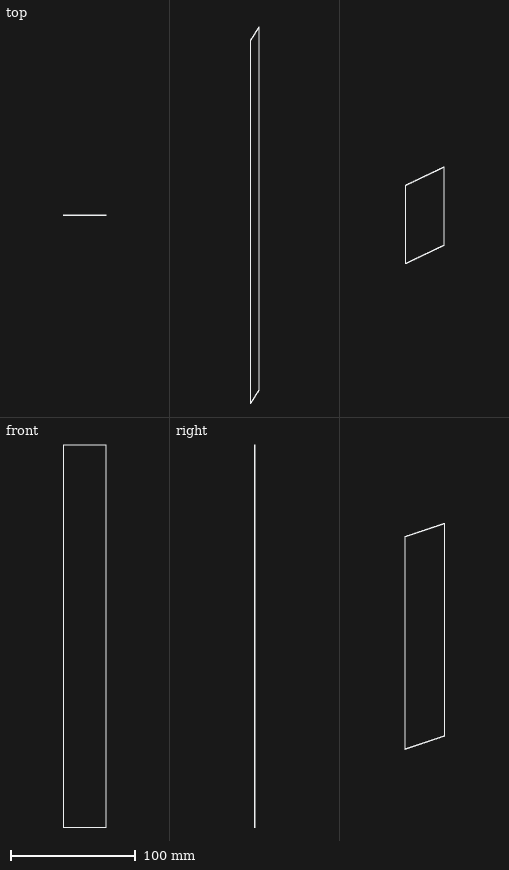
import cadquery as cq

width = 34.3
thickness = 0.18
height = 306.5

result = cq.Workplane("XY").box(width, thickness, height)